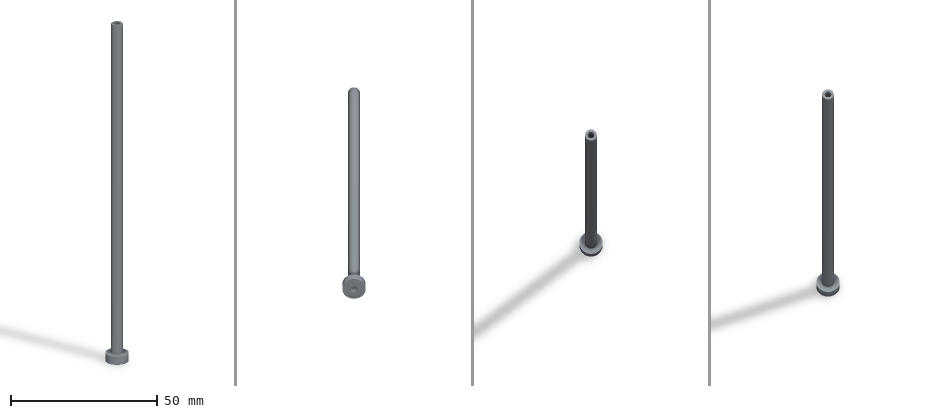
import cadquery as cq

total_length = 125.0
head_diameter = 8.0
head_height = 3.0
tube_diameter = 4.0
bore_diameter = 2.2
neck_fillet = 0.3

head_radius = head_diameter / 2
tube_radius = tube_diameter / 2
bore_radius = bore_diameter / 2

half_section = (
    cq.Workplane("XZ")
    .moveTo(bore_radius, 0)
    .lineTo(head_radius, 0)
    .lineTo(head_radius, head_height)
    .lineTo(tube_radius + neck_fillet, head_height)
    .radiusArc((tube_radius, head_height + neck_fillet), neck_fillet)
    .lineTo(tube_radius, total_length)
    .lineTo(bore_radius, total_length)
    .close()
)

result = half_section.revolve(360, (0, 0, 0), (0, 1, 0))